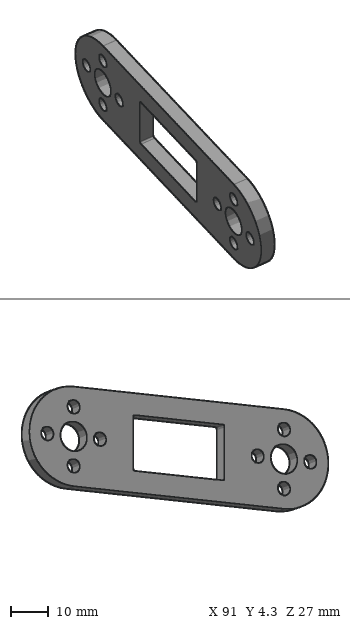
import cadquery as cq

plate_height = 27.0
plate_thickness = 4.3
end_spacing = 64.0
plate_length = end_spacing + plate_height

centre_hole_diameter = 8.0
small_hole_diameter = 3.7
bolt_circle_radius = 8.0
small_hole_count = 4

window_length = 27.7
window_height = 15.1
window_corner_radius = 0.5


def back_plane(centre_x=0):
    """Sketch plane on the back face of the plate; extrusions run forwards along -Y."""
    return cq.Workplane("XZ", origin=(centre_x, plate_thickness / 2, 0))


def make_plate():
    """Rounded-end bar centred on the origin."""
    return back_plane().slot2D(plate_length, plate_height).extrude(plate_thickness)


def window_cutter():
    """Rectangular prism with slightly rounded corners."""
    window = back_plane().rect(window_length, window_height).extrude(plate_thickness)
    return window.edges("|Y").fillet(window_corner_radius)


def end_holes_cutter(centre_x):
    """Centre hole and its ring of small holes around one rounded end."""
    centre_hole = back_plane(centre_x).circle(centre_hole_diameter / 2).extrude(plate_thickness)
    small_holes = (
        back_plane(centre_x)
        .polarArray(bolt_circle_radius, 0, 360, small_hole_count)
        .circle(small_hole_diameter / 2)
        .extrude(plate_thickness)
    )
    return centre_hole.union(small_holes)


result = make_plate().cut(window_cutter())
for side in (-1, 1):
    result = result.cut(end_holes_cutter(side * end_spacing / 2))